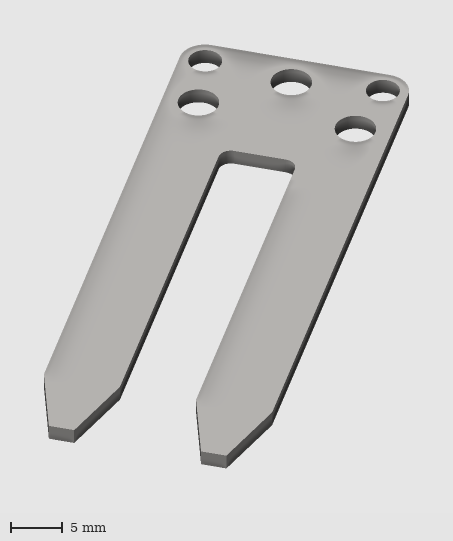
import cadquery as cq

length = 60.95
width = 22.85
thickness = 1.6
corner_radius = 2.5

leg_width = width / 3
slot_width = width - 2 * leg_width
slot_length = 45.7
slot_corner_radius = 1.2

taper_length = 7.6
tip_width = leg_width / 3

small_hole_diameter = 3.3
small_hole_offset = 8.9
small_hole_depth = 2.5
large_hole_diameter = 4.0
centre_hole_depth = 3.55
lower_hole_offset = 7.85
lower_hole_depth = 8.9

top_y = length / 2
bottom_y = -length / 2
taper_y = bottom_y + taper_length
slot_end_y = bottom_y + slot_length


def make_fork():
    """Flat two-legged plate with pointed legs and rounded corners."""
    outer_x = width / 2
    inner_x = slot_width / 2
    leg_center_x = (outer_x + inner_x) / 2
    tip_outer_x = leg_center_x + tip_width / 2
    tip_inner_x = leg_center_x - tip_width / 2
    right_side = [
        (outer_x, top_y),
        (outer_x, taper_y),
        (tip_outer_x, bottom_y),
        (tip_inner_x, bottom_y),
        (inner_x, taper_y),
        (inner_x, slot_end_y),
    ]
    left_side = [(-x, y) for x, y in reversed(right_side)]
    plate = cq.Workplane("XY").polyline(right_side + left_side).close().extrude(thickness)
    outer_corners = cq.selectors.BoxSelector(
        (-width, top_y - corner_radius, -thickness),
        (width, top_y + corner_radius, 2 * thickness),
    )
    slot_corners = cq.selectors.BoxSelector(
        (-slot_width, slot_end_y - slot_corner_radius, -thickness),
        (slot_width, slot_end_y + slot_corner_radius, 2 * thickness),
    )
    plate = plate.edges("|Z").edges(outer_corners).fillet(corner_radius)
    return plate.edges("|Z").edges(slot_corners).fillet(slot_corner_radius)


def make_holes(diameter, centers):
    """Cylinders that cut right through the plate."""
    return cq.Workplane("XY").pushPoints(centers).circle(diameter / 2).extrude(thickness)


small_hole_centers = [(side * small_hole_offset, top_y - small_hole_depth) for side in (-1, 1)]
large_hole_centers = [(side * lower_hole_offset, top_y - lower_hole_depth) for side in (-1, 1)]
large_hole_centers.append((0, top_y - centre_hole_depth))

result = (
    make_fork()
    .cut(make_holes(small_hole_diameter, small_hole_centers))
    .cut(make_holes(large_hole_diameter, large_hole_centers))
)